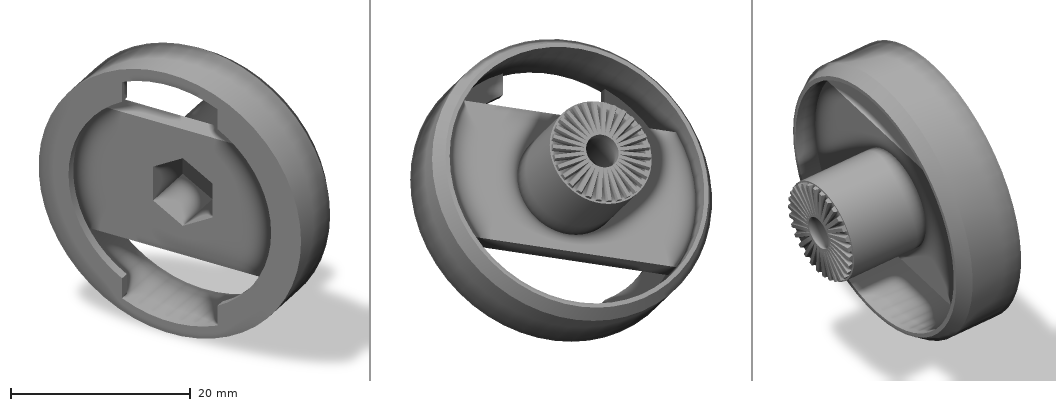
import cadquery as cq
import math


ring_radius = 16.75
ring_depth = 8.1
ring_bore_radius = 15.25
chamfer_radial = 1.0
chamfer_axial = 1.5

lip_radius = 12.95
lip_depth = 1.07
notch_width = 12.2

bridge_height = 16.22
bridge_front = 2.95
bridge_back = 5.45

total_depth = 15.75
tooth_height = 0.5
hub_radius = 6.1
hub_end = total_depth - tooth_height

bolt_radius = 1.95
hex_flats = 7.57
hex_depth = 6.7
hex_half_angle = 30

tooth_count = 30
tooth_radius = 5.9
tooth_root_width = 0.77
tooth_tip_width = 0.45
tooth_pitch_angle = 360 / tooth_count
first_tooth_angle = -tooth_pitch_angle / 4
tooth_overlap = 0.17


def sketch_plane(y):
    """XZ workplane at depth y, extruding toward +Y, with local Y along -Z."""
    return cq.Workplane(cq.Plane(origin=(0, y, 0), xDir=(1, 0, 0), normal=(0, 1, 0)))


def cylinder(radius, start, end):
    return sketch_plane(start).circle(radius).extrude(end - start)


def slab(width, height, start, end):
    return sketch_plane(start).rect(width, height).extrude(end - start)


def make_ring():
    """Ring with a chamfered back edge and an inward lip at the open face."""
    profile = [
        (lip_radius, 0),
        (ring_radius, 0),
        (ring_radius, ring_depth - chamfer_axial),
        (ring_radius - chamfer_radial, ring_depth),
        (ring_bore_radius, ring_depth),
        (ring_bore_radius, lip_depth),
        (lip_radius, lip_depth),
    ]
    ring = cq.Workplane("XY").polyline(profile).close().revolve(360, (0, 0, 0), (0, 1, 0))
    notches = slab(notch_width, 2 * ring_radius, 0, lip_depth)
    notches = notches.intersect(cylinder(ring_bore_radius, 0, lip_depth))
    return ring.cut(notches)


def make_bridge():
    """Flat-sided plate that reaches into the ring wall at both ends."""
    wall_middle = (ring_bore_radius + ring_radius - chamfer_radial) / 2
    bridge = slab(2 * ring_radius, bridge_height, bridge_front, bridge_back)
    return bridge.intersect(cylinder(wall_middle, bridge_front, bridge_back))


def make_teeth():
    """Face teeth whose bars merge into a flat disc near the axis."""
    bar = (
        cq.Workplane("XY")
        .moveTo(-tooth_root_width / 2, hub_end - tooth_overlap)
        .lineTo(tooth_root_width / 2, hub_end - tooth_overlap)
        .lineTo(tooth_root_width / 2, hub_end)
        .lineTo(tooth_tip_width / 2, total_depth)
        .lineTo(-tooth_tip_width / 2, total_depth)
        .lineTo(-tooth_root_width / 2, hub_end)
        .close()
        .extrude(hub_radius)
    )
    teeth = cylinder(bolt_radius, hub_end - tooth_overlap, total_depth)
    for index in range(tooth_count):
        angle = first_tooth_angle + index * tooth_pitch_angle
        teeth = teeth.union(bar.rotate((0, 0, 0), (0, 1, 0), angle))
    return teeth.intersect(cylinder(tooth_radius, hub_end - tooth_overlap, total_depth))


def make_hex_pocket():
    """Hexagonal pocket with corners pointing along Z."""
    corner_diameter = hex_flats / math.cos(math.radians(hex_half_angle))
    pocket = sketch_plane(bridge_front).polygon(6, corner_diameter).extrude(hex_depth)
    return pocket.rotate((0, 0, 0), (0, 1, 0), hex_half_angle)


hub = cylinder(hub_radius, bridge_front, hub_end)
body = make_ring().union(make_bridge()).union(hub).union(make_teeth())
result = body.cut(make_hex_pocket()).cut(cylinder(bolt_radius, 0, total_depth))